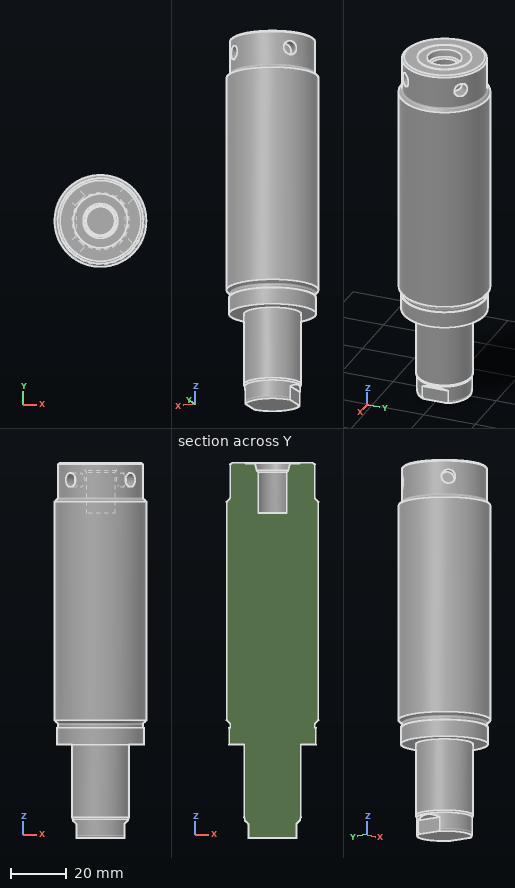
import cadquery as cq
import math

TOTAL_LENGTH = 134.75

BODY_DIAMETER = 33.07
HEAD_DIAMETER = 30.6
HEAD_TOP_CHAMFER_WIDTH = 0.8
HEAD_TOP_CHAMFER_HEIGHT = 0.6
HEAD_LENGTH = 12.8
BODY_CHAMFER = (BODY_DIAMETER - HEAD_DIAMETER) / 2
BODY_LOWER_EDGE_DEPTH = 92.4
SHOULDER_FILLET = 0.5

SELECT_MARGIN = 0.1

NECK_DIAMETER = HEAD_DIAMETER
COLLAR_DIAMETER = 31.3
COLLAR_TOP_DEPTH = 95.1
COLLAR_LENGTH = 6.1

ROD_DIAMETER = 20.6
WRENCH_END_DIAMETER = 20.0
WRENCH_END_LENGTH = 6.8
ROD_CHAMFER_HEIGHT = 0.75
ROD_TIP_CHAMFER_WIDTH = 0.15
ROD_TIP_CHAMFER_HEIGHT = 1.0
ACROSS_FLATS = 17.3
FLAT_HEIGHT = 5.1
FLAT_RUNOUT = 2.0

SPANNER_HOLE_DIAMETER = 5.0
SPANNER_HOLE_DEPTH = 4.8
SPANNER_HOLE_DROP = 6.2
SPANNER_HOLE_COUNT = 4
SPANNER_HOLE_START_ANGLE = 45.0

RECESS_DIAMETER = 19.4
RECESS_DEPTH = 0.25
BORE_MOUTH_DIAMETER = 12.5
BORE_MOUTH_DEPTH = 2.75
BORE_MOUTH_FLOOR_DIAMETER = 11.2
BORE_CHAMFER_HEIGHT = 0.7
BORE_DIAMETER = 10.2
BORE_DEPTH = 18.0


def revolve_profile(points):
    """Revolve a closed (radius, Z) outline around the Z axis."""
    return cq.Workplane("XZ").polyline(points).close().revolve(360, (0, 0), (0, 1))


def make_turned_body():
    """Head, body, neck, collar and rod as one turned solid with filleted shoulder roots."""
    body_r = BODY_DIAMETER / 2
    head_r = HEAD_DIAMETER / 2
    neck_r = NECK_DIAMETER / 2
    collar_r = COLLAR_DIAMETER / 2
    rod_r = ROD_DIAMETER / 2
    end_r = WRENCH_END_DIAMETER / 2
    head_bottom = TOTAL_LENGTH - HEAD_LENGTH
    body_bottom = TOTAL_LENGTH - BODY_LOWER_EDGE_DEPTH
    collar_top = TOTAL_LENGTH - COLLAR_TOP_DEPTH
    collar_bottom = collar_top - COLLAR_LENGTH
    turned = revolve_profile([
        (0, 0),
        (end_r - ROD_TIP_CHAMFER_WIDTH, 0),
        (end_r, ROD_TIP_CHAMFER_HEIGHT),
        (end_r, WRENCH_END_LENGTH),
        (rod_r, WRENCH_END_LENGTH + ROD_CHAMFER_HEIGHT),
        (rod_r, collar_bottom),
        (collar_r, collar_bottom),
        (collar_r, collar_top),
        (neck_r, collar_top),
        (neck_r, body_bottom - BODY_CHAMFER),
        (body_r, body_bottom),
        (body_r, head_bottom - BODY_CHAMFER),
        (head_r, head_bottom),
        (head_r, TOTAL_LENGTH - HEAD_TOP_CHAMFER_HEIGHT),
        (head_r - HEAD_TOP_CHAMFER_WIDTH, TOTAL_LENGTH),
        (0, TOTAL_LENGTH),
    ])
    for root_height in (head_bottom, body_bottom - BODY_CHAMFER):
        root = cq.selectors.BoxSelector(
            (-body_r, -body_r, root_height - SELECT_MARGIN),
            (body_r, body_r, root_height + SELECT_MARGIN),
            boundingbox=True,
        )
        turned = turned.edges(root).fillet(SHOULDER_FILLET)
    return turned


def make_top_bore():
    """Shallow recess, tapered bore mouth and a narrower blind bore below it."""
    recess_floor = TOTAL_LENGTH - RECESS_DEPTH
    mouth_floor = TOTAL_LENGTH - BORE_MOUTH_DEPTH
    bore_r = BORE_DIAMETER / 2
    mouth_r = BORE_MOUTH_DIAMETER / 2
    return revolve_profile([
        (0, TOTAL_LENGTH - BORE_DEPTH),
        (bore_r, TOTAL_LENGTH - BORE_DEPTH),
        (bore_r, mouth_floor - BORE_CHAMFER_HEIGHT),
        (BORE_MOUTH_FLOOR_DIAMETER / 2, mouth_floor),
        (mouth_r, recess_floor),
        (RECESS_DIAMETER / 2, recess_floor),
        (RECESS_DIAMETER / 2, TOTAL_LENGTH),
        (0, TOTAL_LENGTH),
    ])


def make_spanner_hole(angle):
    """Radial blind hole in the head at the given angle about Z."""
    turn = math.radians(angle)
    outward = cq.Vector(math.cos(turn), math.sin(turn), 0)
    start_r = HEAD_DIAMETER / 2 - SPANNER_HOLE_DEPTH
    start = outward * start_r + cq.Vector(0, 0, TOTAL_LENGTH - SPANNER_HOLE_DROP)
    cutter_length = 2 * SPANNER_HOLE_DEPTH
    return cq.Workplane(cq.Solid.makeCylinder(SPANNER_HOLE_DIAMETER / 2, cutter_length, start, outward))


def make_wrench_flat(side):
    """Cutter for one flat of the rod end (side is +1 or -1 along X), with a sloped run-out."""
    inner = ACROSS_FLATS / 2
    outer = inner + FLAT_RUNOUT
    return (
        cq.Workplane("XZ")
        .polyline([
            (side * inner, 0),
            (side * outer, 0),
            (side * outer, FLAT_HEIGHT + FLAT_RUNOUT),
            (side * inner, FLAT_HEIGHT),
        ])
        .close()
        .extrude(ROD_DIAMETER / 2, both=True)
    )


result = make_turned_body().cut(make_top_bore())
for index in range(SPANNER_HOLE_COUNT):
    hole_angle = SPANNER_HOLE_START_ANGLE + index * 360 / SPANNER_HOLE_COUNT
    result = result.cut(make_spanner_hole(hole_angle))
for flat_side in (-1, 1):
    result = result.cut(make_wrench_flat(flat_side))